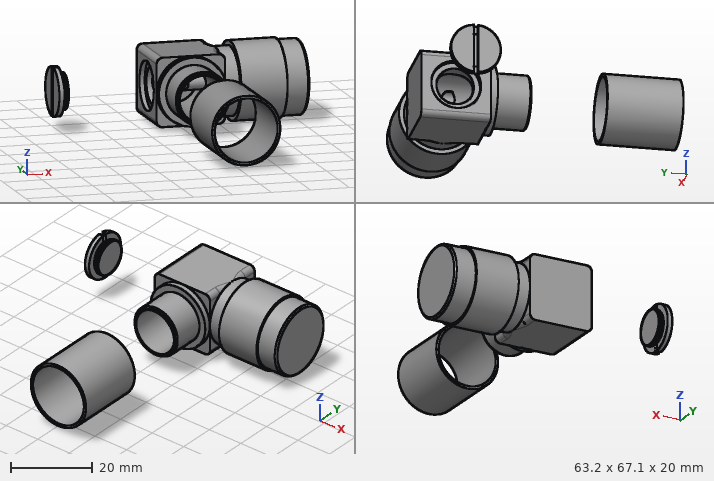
import cadquery as cq
import math


OVERALL_LENGTH = 67.1

BLOCK = 17.5
HALF = BLOCK / 2
EDGE_R = 1.55

COUPLING_DIA = 20.0
COUPLING_START = 12.6
COUPLING_END = 24.5
NOSE_DIA = 19.0
NOSE_END = 30.3
NOSE_CHAMFER = 0.5

COLLAR_DIA = 17.4
COLLAR_LENGTH = 1.75
BARREL_DIA = 13.7
BARREL_END = 19.4
BARREL_CHAMFER = 0.4
BORE_DIA = 11.95
BORE_BACK = 5.85

CONTACT_DIA = 3.4
SOLDER_HOLE_DIA = 2.9

CAP_START = -32.9
CAP_DIA = 12.5
CAP_HEAD = 1.35
CAP_LENGTH = 2.95
CAP_NECK_DIA = 8.6
CAP_NECK_LENGTH = 0.5
THREAD_DIA = 9.4
THREAD_DEPTH = 0.15
THREAD_RIDGES = 5
SLOT_WIDTH = 1.15
SLOT_DEPTH = 1.15

SLEEVE_DIA = BLOCK
SLEEVE_BORE_DIA = 16.1
SLEEVE_LENGTH = 19.05
SLEEVE_END = OVERALL_LENGTH - COUPLING_DIA / 2


def rod_x(diameter, start, end):
    """Cylinder about the X axis from X = start to X = end."""
    return cq.Workplane("YZ", origin=(start, 0, 0)).circle(diameter / 2).extrude(end - start)


def rod_y(diameter, start, end):
    """Cylinder about the Y axis from Y = -start to Y = -end."""
    return cq.Workplane("XZ", origin=(0, -start, 0)).circle(diameter / 2).extrude(end - start)


def corner_wire(y):
    """Section at Y = y of the material rounded off the upper +X edge.

    The arc is tangent to the top face. It ends on the +X face, at the outline of the round neck
    or, past that, where it is a full quarter circle.
    """
    neck_height = math.sqrt(HALF**2 - y**2)
    arc_end = max(neck_height, HALF - EDGE_R)
    rise = arc_end - (HALF - EDGE_R)
    run = math.sqrt(EDGE_R**2 - rise**2)
    center_x = HALF - run
    center_z = HALF - EDGE_R
    middle = (math.pi / 2 + math.atan2(rise, run)) / 2
    middle_x = center_x + EDGE_R * math.cos(middle)
    middle_z = center_z + EDGE_R * math.sin(middle)
    start = cq.Vector(center_x, y, HALF)
    corner = cq.Vector(HALF, y, HALF)
    end = cq.Vector(HALF, y, arc_end)
    return cq.Wire.assembleEdges([
        cq.Edge.makeLine(start, corner),
        cq.Edge.makeLine(corner, end),
        cq.Edge.makeThreePointArc(end, cq.Vector(middle_x, y, middle_z), start),
    ])


def corner_relief():
    """Rounding of one half of the upper +X edge, tapering to nothing at Y = 0."""
    full_y = math.sqrt(HALF**2 - (HALF - EDGE_R)**2)
    taper_start = 0.1
    steps = 6
    stations = [taper_start + (full_y - taper_start) * i / steps for i in range(steps + 1)]
    taper = cq.Solid.makeLoft([corner_wire(y) for y in stations])
    full = cq.Solid.makeLoft([corner_wire(full_y), corner_wire(HALF)], True)
    return cq.Workplane(taper), cq.Workplane(full)


def make_block():
    block = cq.Workplane("XY").box(BLOCK, BLOCK, BLOCK).edges("|Y and <X").fillet(EDGE_R)
    for relief in corner_relief():
        edge_pair = relief.union(relief.mirror("XY"))
        block = block.cut(edge_pair).cut(edge_pair.mirror("XZ"))
    return block


def make_housing():
    neck = rod_x(BLOCK, 0, COUPLING_START)
    coupling = rod_x(COUPLING_DIA, COUPLING_START, COUPLING_END)
    nose = rod_x(NOSE_DIA, COUPLING_END, NOSE_END).faces(">X").chamfer(NOSE_CHAMFER)
    collar = rod_y(COLLAR_DIA, HALF, HALF + COLLAR_LENGTH)
    barrel = rod_y(BARREL_DIA, HALF, BARREL_END).faces("<Y").edges().chamfer(BARREL_CHAMFER)
    bore = rod_y(BORE_DIA, -BORE_BACK, BARREL_END)
    cap_seat = rod_x(CAP_DIA, -HALF, CAP_HEAD - HALF)
    cap_hole = rod_x(THREAD_DIA, -HALF, 0)
    contact = rod_x(CONTACT_DIA, 0, HALF)
    solder_hole = rod_y(SOLDER_HOLE_DIA, -CONTACT_DIA, CONTACT_DIA)

    body = make_block().union(neck).union(coupling).union(nose).union(collar).union(barrel)
    body = body.cut(bore).cut(cap_seat).cut(cap_hole)
    return body.union(contact.cut(solder_hole))


def make_screw_cap():
    head_end = CAP_START + CAP_HEAD
    thread_start = head_end + CAP_NECK_LENGTH
    cap_end = CAP_START + CAP_LENGTH
    pitch = (cap_end - thread_start) / THREAD_RIDGES
    crest = THREAD_DIA / 2
    root = crest - THREAD_DEPTH

    profile = [
        (CAP_START, 0),
        (CAP_START, CAP_DIA / 2),
        (head_end, CAP_DIA / 2),
        (head_end, CAP_NECK_DIA / 2),
        (thread_start, CAP_NECK_DIA / 2),
        (thread_start, root),
    ]
    for ridge in range(THREAD_RIDGES):
        ridge_start = thread_start + ridge * pitch
        profile.append((ridge_start + pitch / 2, crest))
        profile.append((ridge_start + pitch, root))
    profile.append((cap_end, 0))
    cap = cq.Workplane("XY").polyline(profile).close().revolve(360, (0, 0, 0), (1, 0, 0))

    slot = cq.Workplane("XY").box(2 * SLOT_DEPTH, SLOT_WIDTH, CAP_DIA).translate((CAP_START, 0, 0))
    return cap.cut(slot)


def make_crimp_sleeve():
    outside = rod_y(SLEEVE_DIA, SLEEVE_END - SLEEVE_LENGTH, SLEEVE_END)
    inside = rod_y(SLEEVE_BORE_DIA, SLEEVE_END - SLEEVE_LENGTH, SLEEVE_END)
    return outside.cut(inside)


housing = make_housing()
screw_cap = make_screw_cap()
crimp_sleeve = make_crimp_sleeve()

result = cq.Compound.makeCompound([housing.val(), screw_cap.val(), crimp_sleeve.val()])